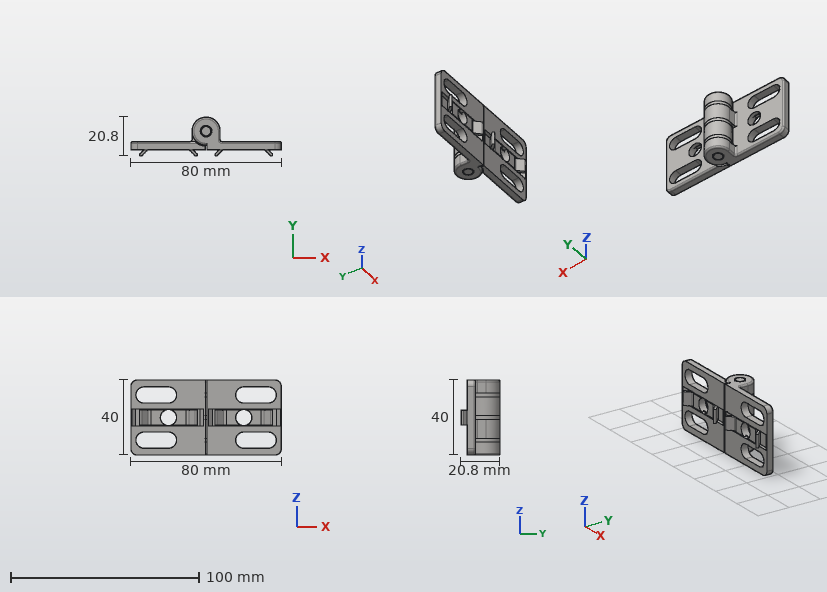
import cadquery as cq
import math

leaf_height = 40.0
leaf_reach = 40.0
leaf_gap = 0.8
plate_thickness = 4.5
corner_radius = 3.5
edge_fillet = 1.0
half_height = leaf_height / 2
hinge_edge = leaf_gap / 2

axis_y = 10.0
knuckle_diameter = 15.0
knuckle_radius = knuckle_diameter / 2
web_fillet = 1.0
clearance_radius = 8.0
bore_diameter = 6.0
end_knuckle_length = 7.0
inner_knuckle_length = 10.0
washer_thickness = 2.0
pin_diameter = 5.85
pin_chamfer_length = 1.5
pin_chamfer_depth = 0.45

end_knuckle = (half_height - end_knuckle_length, half_height)
inner_knuckle = (-washer_thickness / 2 - inner_knuckle_length, -washer_thickness / 2)
knuckle_spans = [end_knuckle, inner_knuckle]
free_spans = [(inner_knuckle[1], end_knuckle[0]), (-half_height, inner_knuckle[0])]
washer_bottoms = [
    end_knuckle[0] - washer_thickness,
    inner_knuckle[1],
    inner_knuckle[0] - washer_thickness,
]

mount_x = 20.0
hole_diameter = 8.5
slot_travel = 13.0
slot_z = 12.0

recess_depth = 2.0
recess_width = 9.0
recess_inner_margin = 0.9
recess_outer_margin = 0.6
recess_inner_x = hinge_edge + recess_inner_margin
recess_outer_x = leaf_reach - recess_outer_margin

lug_width = 8.0
tab_projection = 3.25
tab_thickness = 1.5
tab_tip_reach = 14.62
groove_radius = 1.0
groove_centre_y = -0.5

diagonal = math.sqrt(0.5)


def block(x_span, y_span, z_span):
    """Axis-aligned box given by its limits along X, Y and Z."""
    size = [span[1] - span[0] for span in (x_span, y_span, z_span)]
    return cq.Workplane("XY").box(*size, centered=False).translate((x_span[0], y_span[0], z_span[0]))


def hinge_cylinder(radius, z_span):
    """Cylinder on the hinge axis."""
    return (
        cq.Workplane("XY", origin=(0, axis_y, z_span[0]))
        .circle(radius)
        .extrude(z_span[1] - z_span[0])
    )


def plate():
    body = block((hinge_edge, leaf_reach), (0, plate_thickness), (-half_height, half_height))
    return body.edges("|Y and >X").fillet(corner_radius)


def knuckle(z_span):
    """Barrel joined to the plate by a web with a flat tangent side and a concave foot."""
    foot_x = knuckle_radius + web_fillet
    foot_y = plate_thickness + web_fillet
    web = (
        cq.Workplane("XY", origin=(0, 0, z_span[0]))
        .moveTo(hinge_edge, 0)
        .lineTo(foot_x, 0)
        .lineTo(foot_x, plate_thickness)
        .radiusArc((knuckle_radius, foot_y), web_fillet)
        .lineTo(knuckle_radius, axis_y)
        .lineTo(hinge_edge, axis_y)
        .close()
        .extrude(z_span[1] - z_span[0])
    )
    return hinge_cylinder(knuckle_radius, z_span).union(web)


def mounting_holes():
    """Central round hole with a slot above and below it."""
    slot_x = mount_x + slot_travel / 2
    face = cq.Workplane("XZ")
    hole = face.center(mount_x, 0).circle(hole_diameter / 2).extrude(-plate_thickness)
    slots = (
        face.pushPoints([(slot_x, slot_z), (slot_x, -slot_z)])
        .slot2D(slot_travel + hole_diameter, hole_diameter)
        .extrude(-plate_thickness)
    )
    return hole.union(slots)


def recess():
    return (
        cq.Workplane("XY", origin=(0, 0, -recess_width / 2))
        .polyline([
            (recess_inner_x, 0),
            (recess_inner_x + recess_depth, recess_depth),
            (recess_outer_x - recess_depth, recess_depth),
            (recess_outer_x, 0),
        ])
        .close()
        .extrude(recess_width)
    )


def half_lug():
    """Half of the lug, from its middle at X = 0 out to the tab that points along +X and -Y."""
    tip_radius = tab_thickness / 2
    tip_step = tip_radius * diagonal
    tip_x = tab_tip_reach
    tip_y = tip_radius - tab_projection

    inner_sum = tip_x + tip_y - 2 * tip_step
    outer_sum = tip_x + tip_y + 2 * tip_step

    groove_x = inner_sum - groove_radius / diagonal - groove_centre_y
    groove_step = groove_radius * diagonal
    pad_edge_x = groove_x - math.sqrt(groove_radius**2 - groove_centre_y**2)

    return (
        cq.Workplane("XY", origin=(0, 0, -lug_width / 2))
        .moveTo(0, recess_depth)
        .lineTo(0, 0)
        .lineTo(pad_edge_x, 0)
        .threePointArc(
            (groove_x, groove_centre_y + groove_radius),
            (groove_x + groove_step, groove_centre_y + groove_step),
        )
        .lineTo(tip_x - tip_step, tip_y - tip_step)
        .threePointArc(
            (tip_x + tip_step, tip_y - tip_step),
            (tip_x + tip_step, tip_y + tip_step),
        )
        .lineTo(outer_sum - recess_depth, recess_depth)
        .close()
        .extrude(lug_width)
    )


def lug():
    half = half_lug()
    return half.union(half.mirror("YZ")).translate((mount_x, 0, 0))


def round_rear_outline(body):
    """Round the rear outer edges: the fillet runs on from the picked edge along its tangent chain."""
    top_rear_point = (leaf_reach / 2, plate_thickness, half_height)
    top_rear_edge = cq.selectors.NearestToPointSelector(top_rear_point)
    return body.edges(top_rear_edge).fillet(edge_fillet)


def leaf():
    """Right leaf: plate, knuckles, mounting holes and locating lug."""
    body = plate()
    for z_span in knuckle_spans:
        body = body.union(knuckle(z_span))
    body = round_rear_outline(body)
    for z_span in free_spans:
        body = body.cut(hinge_cylinder(clearance_radius, z_span))
    body = body.cut(hinge_cylinder(bore_diameter / 2, (-half_height, half_height)))
    return body.cut(recess()).union(lug()).cut(mounting_holes())


def washer(bottom_z):
    z_span = (bottom_z, bottom_z + washer_thickness)
    return hinge_cylinder(knuckle_radius, z_span).cut(hinge_cylinder(bore_diameter / 2, z_span))


def hinge_pin():
    pin = hinge_cylinder(pin_diameter / 2, (-half_height, half_height))
    return pin.faces("|Z").chamfer(pin_chamfer_length, pin_chamfer_depth)


right_leaf = leaf()
left_leaf = right_leaf.rotate((0, 0, 0), (0, 1, 0), 180)
pin = hinge_pin()
washers = [washer(bottom_z) for bottom_z in washer_bottoms]

result = cq.Compound.makeCompound([
    right_leaf.val(),
    left_leaf.val(),
    pin.val(),
    *[ring.val() for ring in washers],
])